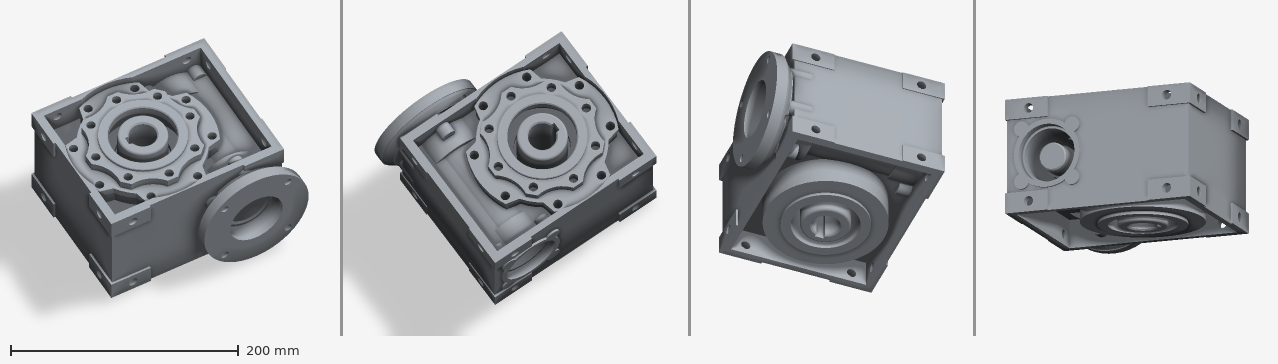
import cadquery as cq
import math


CENTRE_DISTANCE = 63.0

HALF_WIDTH = 72.0
BACK_Y = 102.0
HALF_HEIGHT = 51.5
SIDE_RELIEF = 2.0
BACK_RELIEF = 1.0
WALL = 8.0
FLOOR_Z = 25.9
PAD_LENGTH = 39.8
PAD_HEIGHT = 18.4
PAD_HOLE_RADIUS = 4.3
PAD_HOLE_INSET = 22.0
PAD_HOLE_Z = 42.2

TUNNEL_RADIUS = 24.0
SEAL_BORE_RADIUS = 26.2
SEAL_BORE_DEPTH = 8.2
TUBE_RADIUS = 28.5
END_TUBE_RADIUS = 30.4
END_TUBE_X = -39.0
INPUT_TUBE_RADIUS = 34.0
INPUT_TUBE_X = 41.8
INPUT_FACE_X = 74.0
END_RING_RADIUS = 31.0
END_BOSS_RADIUS = 7.0
END_BOSS_OFFSET = 23.8
END_BOSS_X = -52.0
INPUT_BOSS_RADIUS = 7.0
INPUT_BOSS_CIRCLE = 37.5
INPUT_BOSS_COUNT = 6
INPUT_BOSS_X = 53.2

CHAMBER_RADIUS = 53.2
BOSS_RADIUS = 55.5
BOSS_LOBE_RADIUS = 66.4
CHAMBER_BOTTOM_Z = -16.9
SEAT_Z = 38.5
FLANGE_TOP_Z = 45.0
STAR_TOP_Z = 53.0
RING_TOP_Z = 55.7
RING_RADIUS = 40.0
RING_EDGE = 0.5
COVER_BOTTOM_Z = 23.8
COVER_RADIUS = 67.9
RECESS_RADIUS = 68.8
LOBE_ANGLE = 63.7
VALLEY_RADIUS = 58.3
VALLEY_HALF_ANGLE = 10.5
STAR_TIP_DISTANCE = 54.5
STAR_TIP_HALF_WIDTH = 5.2
STAR_VALLEY_RADIUS = 48.0
BEARING_RADIUS = 36.8
BEARING_TOP_Z = 47.5
BEARING_FLOOR_Z = 29.5
OPENING_RADIUS = 30.8
OPENING_CHAMFER = 1.0
SHOULDER_RADIUS = 25.1
OUTER_HOLE_CIRCLE = 61.3
OUTER_HOLE_DEPTH = 23.5
INNER_HOLE_CIRCLE = 47.5
INNER_HOLE_DEPTH = 11.2
COVER_HOLE_RADIUS = 4.1
COVER_HOLE_COUNT = 8
DRILL_POINT_ANGLE = 118.0
BOTTOM_HUB_Z = -54.4

SHAFT_RADIUS = 22.5
SHAFT_LENGTH = 112.0
SHAFT_HALF_LENGTH = SHAFT_LENGTH / 2
SHAFT_ROUNDING = 2.2
SHAFT_BORE_RADIUS = 12.5
SHAFT_BORE_CHAMFER = 1.3
KEYWAY_WIDTH = 8.0
KEYWAY_DEPTH = 15.8
WHEEL_RADIUS = 52.5
WHEEL_HALF_WIDTH = 11.5
WHEEL_CHAMFER_WIDTH = 2.0
WHEEL_CHAMFER_DEPTH = 3.0

WORM_START_X = -58.3
WORM_RADIUS = 14.8
WORM_CLEARANCE = 0.4
JOURNAL_RADIUS = 12.8
JOURNAL_END_X = -37.5
JOURNAL_CHAMFER = 1.3
WORM_CONE_X = 35.6
WORM_CONE_LENGTH = 5.0
WORM_HEAD_RADIUS = 20.2

MOTOR_FACE_X = 92.0
MOTOR_RADIUS = 52.5
MOTOR_RIM_X = 81.8
MOTOR_CONE_START_X = 74.8
MOTOR_CONE_END_X = 79.7
MOTOR_CONE_END_RADIUS = 50.0
MOTOR_CONE_START_RADIUS = 44.6
MOTOR_SHOULDER_RADIUS = 51.5
MOTOR_BORE_RADIUS = 26.2
MOTOR_HOLE_CIRCLE = 45.0
MOTOR_HOLE_RADIUS = 3.5
MOTOR_HOLE_COUNT = 4


def polar(radius, angle):
    """Point at a radius and an angle in degrees."""
    return (radius * math.cos(math.radians(angle)), radius * math.sin(math.radians(angle)))


def disc(radius, bottom, top):
    """Cylinder on the output axis."""
    return cq.Workplane("XY").workplane(offset=bottom).circle(radius).extrude(top - bottom)


def rod(radius, start, end, dy=0.0, dz=0.0):
    """Cylinder along X, placed relative to the worm axis."""
    plane = cq.Workplane("YZ").workplane(offset=start).center(CENTRE_DISTANCE + dy, dz)
    return plane.circle(radius).extrude(end - start)


def block(x0, x1, y0, y1, z0, z1):
    """Box between two opposite corners."""
    return cq.Workplane("XY").box(x1 - x0, y1 - y0, z1 - z0, centered=False).translate((x0, y0, z0))


def drill(circle, angle, top, depth):
    """Drilled hole with a conical bottom, opening upward."""
    tip = COVER_HOLE_RADIUS / math.tan(math.radians(DRILL_POINT_ANGLE / 2))
    profile = [
        (0, top),
        (COVER_HOLE_RADIUS, top),
        (COVER_HOLE_RADIUS, top - depth),
        (0, top - depth - tip),
    ]
    hole = cq.Workplane("XZ").polyline(profile).close().revolve(360, (0, 0, 0), (0, 1, 0))
    x, y = polar(circle, angle)
    return hole.translate((x, y, 0))


def cut_cover_holes(body, circle, first_angle, top, depth):
    """Ring of equally spaced drilled holes."""
    for i in range(COVER_HOLE_COUNT):
        body = body.cut(drill(circle, first_angle + i * 360 / COVER_HOLE_COUNT, top, depth))
    return body


def lobed_plate(lobe_radius, valley_radius, bottom, top):
    """Round plate with four lobes on the X and Y axes, joined by arcs of a smaller radius."""
    lobe_half_angle = 90 - LOBE_ANGLE
    start = polar(lobe_radius, -lobe_half_angle)
    outline = cq.Workplane("XY").workplane(offset=bottom).moveTo(*start)
    for lobe in range(0, 360, 90):
        valley = lobe + 45
        outline = (
            outline.threePointArc(polar(lobe_radius, lobe), polar(lobe_radius, lobe + lobe_half_angle))
            .lineTo(*polar(valley_radius, valley - VALLEY_HALF_ANGLE))
            .threePointArc(
                polar(valley_radius, valley), polar(valley_radius, valley + VALLEY_HALF_ANGLE)
            )
            .lineTo(*polar(lobe_radius, lobe + LOBE_ANGLE))
        )
    return outline.close().extrude(top - bottom)


def star_plate(bottom, top):
    """Plate with eight blunt tips joined by concave arcs."""
    tip_radius = math.hypot(STAR_TIP_DISTANCE, STAR_TIP_HALF_WIDTH)
    tip_angle = math.degrees(math.atan2(STAR_TIP_HALF_WIDTH, STAR_TIP_DISTANCE))
    pitch = 360 / COVER_HOLE_COUNT
    outline = cq.Workplane("XY").workplane(offset=bottom).moveTo(*polar(tip_radius, -tip_angle))
    for i in range(COVER_HOLE_COUNT):
        tip = i * pitch
        outline = outline.lineTo(*polar(tip_radius, tip + tip_angle)).threePointArc(
            polar(STAR_VALLEY_RADIUS, tip + pitch / 2), polar(tip_radius, tip + pitch - tip_angle)
        )
    return outline.close().extrude(top - bottom)


def housing_block():
    """Block with eight raised corner pads."""
    side = HALF_WIDTH - SIDE_RELIEF
    body = block(-side, side, -side, BACK_Y - BACK_RELIEF, -HALF_HEIGHT, HALF_HEIGHT)
    for x in (-HALF_WIDTH, HALF_WIDTH - PAD_LENGTH):
        for y in (-HALF_WIDTH, BACK_Y - PAD_LENGTH):
            for z in (-HALF_HEIGHT, HALF_HEIGHT - PAD_HEIGHT):
                body = body.union(block(x, x + PAD_LENGTH, y, y + PAD_LENGTH, z, z + PAD_HEIGHT))
    return body


def cut_pockets(body):
    """Open pockets above and below the middle of the housing."""
    inner = HALF_WIDTH - WALL
    for z0, z1 in ((FLOOR_Z, HALF_HEIGHT), (-HALF_HEIGHT, -FLOOR_Z)):
        body = body.cut(block(-inner, inner, -inner, BACK_Y - WALL, z0, z1))
    return body


def cut_pad_holes(body):
    """Holes through the pads and the pocket walls; none lie behind the motor flange."""
    near = PAD_HOLE_INSET - HALF_WIDTH
    far_x = HALF_WIDTH - PAD_HOLE_INSET
    far_y = BACK_Y - PAD_HOLE_INSET
    holes = [
        (near, -HALF_WIDTH, (0, 1, 0)),
        (far_x, -HALF_WIDTH, (0, 1, 0)),
        (near, BACK_Y, (0, -1, 0)),
        (far_x, BACK_Y, (0, -1, 0)),
        (-HALF_WIDTH, near, (1, 0, 0)),
        (-HALF_WIDTH, far_y, (1, 0, 0)),
        (HALF_WIDTH, near, (-1, 0, 0)),
    ]
    for z in (-PAD_HOLE_Z, PAD_HOLE_Z):
        for x, y, inward in holes:
            hole = cq.Solid.makeCylinder(PAD_HOLE_RADIUS, WALL, cq.Vector(x, y, z), cq.Vector(*inward))
            body = body.cut(cq.Workplane(hole))
    return body


def worm_tube():
    """Tube around the worm, with its end rings and screw bosses."""
    inner = HALF_WIDTH - WALL
    body = rod(TUBE_RADIUS, -inner, inner)
    body = body.union(rod(END_TUBE_RADIUS, -inner, END_TUBE_X))
    body = body.union(rod(END_RING_RADIUS, -HALF_WIDTH, -inner))
    body = body.union(rod(INPUT_TUBE_RADIUS, INPUT_TUBE_X, INPUT_FACE_X))
    for dy in (-END_BOSS_OFFSET, END_BOSS_OFFSET):
        for dz in (-END_BOSS_OFFSET, END_BOSS_OFFSET):
            body = body.union(rod(END_BOSS_RADIUS, -HALF_WIDTH, END_BOSS_X, dy, dz))
    for i in range(INPUT_BOSS_COUNT):
        dy, dz = polar(INPUT_BOSS_CIRCLE, 90 + i * 360 / INPUT_BOSS_COUNT)
        body = body.union(rod(INPUT_BOSS_RADIUS, INPUT_BOSS_X, INPUT_FACE_X, dy, dz))
    return body


def make_housing():
    body = cut_pad_holes(cut_pockets(housing_block()))
    body = body.union(worm_tube())

    body = body.union(lobed_plate(BOSS_LOBE_RADIUS, BOSS_RADIUS, FLOOR_Z, SEAT_Z))
    body = body.cut(disc(RECESS_RADIUS, SEAT_Z, HALF_HEIGHT))
    body = body.union(disc(BOSS_RADIUS, -HALF_HEIGHT, -FLOOR_Z))
    body = body.union(disc(RING_RADIUS, BOTTOM_HUB_Z, -HALF_HEIGHT))

    body = body.cut(disc(CHAMBER_RADIUS, CHAMBER_BOTTOM_Z, SEAT_Z))
    body = body.cut(disc(OPENING_RADIUS, BOTTOM_HUB_Z, CHAMBER_BOTTOM_Z))
    body = body.cut(rod(TUNNEL_RADIUS, -HALF_WIDTH, INPUT_FACE_X))
    body = body.cut(rod(SEAL_BORE_RADIUS, -HALF_WIDTH, SEAL_BORE_DEPTH - HALF_WIDTH))
    half_pitch = 180 / COVER_HOLE_COUNT
    return cut_cover_holes(body, OUTER_HOLE_CIRCLE, half_pitch, FLANGE_TOP_Z, OUTER_HOLE_DEPTH)


def make_cover():
    body = lobed_plate(COVER_RADIUS, VALLEY_RADIUS, SEAT_Z, FLANGE_TOP_Z)
    body = body.union(star_plate(FLANGE_TOP_Z, STAR_TOP_Z))
    ring = disc(RING_RADIUS, STAR_TOP_Z, RING_TOP_Z).faces(">Z").edges().chamfer(RING_EDGE)
    body = body.union(ring).union(disc(CHAMBER_RADIUS, COVER_BOTTOM_Z, SEAT_Z))

    body = body.cut(disc(SHOULDER_RADIUS, COVER_BOTTOM_Z, RING_TOP_Z))
    body = body.cut(disc(BEARING_RADIUS, BEARING_FLOOR_Z, BEARING_TOP_Z))
    body = body.cut(disc(OPENING_RADIUS, BEARING_TOP_Z, RING_TOP_Z))
    rim = cq.selectors.RadiusNthSelector(0)
    body = body.faces(">Z").edges(rim).chamfer(OPENING_CHAMFER)

    half_pitch = 180 / COVER_HOLE_COUNT
    body = cut_cover_holes(body, OUTER_HOLE_CIRCLE, half_pitch, FLANGE_TOP_Z, OUTER_HOLE_DEPTH)
    return cut_cover_holes(body, INNER_HOLE_CIRCLE, 0, STAR_TOP_Z, INNER_HOLE_DEPTH)


def make_output_shaft():
    body = disc(SHAFT_RADIUS, -SHAFT_HALF_LENGTH, SHAFT_HALF_LENGTH)
    body = body.faces("<Z or >Z").edges().fillet(SHAFT_ROUNDING)
    bore = disc(SHAFT_BORE_RADIUS, -SHAFT_HALF_LENGTH, SHAFT_HALF_LENGTH)
    body = body.cut(bore)
    rim = cq.selectors.RadiusNthSelector(0)
    body = body.faces("<Z or >Z").edges(rim).chamfer(SHAFT_BORE_CHAMFER)
    half_key = KEYWAY_WIDTH / 2
    keyway = block(-half_key, half_key, -KEYWAY_DEPTH, 0, -SHAFT_HALF_LENGTH, SHAFT_HALF_LENGTH)
    return body.cut(keyway)


def make_worm_wheel():
    """Chamfered ring on the output shaft."""
    rim_z = WHEEL_HALF_WIDTH - WHEEL_CHAMFER_WIDTH
    side_radius = WHEEL_RADIUS - WHEEL_CHAMFER_DEPTH
    profile = [
        (SHAFT_RADIUS, -WHEEL_HALF_WIDTH),
        (side_radius, -WHEEL_HALF_WIDTH),
        (WHEEL_RADIUS, -rim_z),
        (WHEEL_RADIUS, rim_z),
        (side_radius, WHEEL_HALF_WIDTH),
        (SHAFT_RADIUS, WHEEL_HALF_WIDTH),
    ]
    return cq.Workplane("XZ").polyline(profile).close().revolve(360, (0, 0, 0), (0, 1, 0))


def revolve_about_worm_axis(outline):
    """Solid of revolution from an outline of (x, radius) points."""
    return outline.close().revolve(360, (0, 0, 0), (1, 0, 0)).translate((0, CENTRE_DISTANCE, 0))


def make_worm():
    """Worm with a waist that follows the rim of the wheel."""
    waist_arc_radius = WHEEL_RADIUS + WORM_CLEARANCE
    waist_half_length = math.sqrt(waist_arc_radius**2 - (CENTRE_DISTANCE - WORM_RADIUS) ** 2)
    outline = (
        cq.Workplane("XY")
        .moveTo(WORM_START_X, 0)
        .lineTo(WORM_START_X, JOURNAL_RADIUS - JOURNAL_CHAMFER)
        .lineTo(WORM_START_X + JOURNAL_CHAMFER, JOURNAL_RADIUS)
        .lineTo(JOURNAL_END_X, JOURNAL_RADIUS)
        .lineTo(JOURNAL_END_X, WORM_RADIUS)
        .lineTo(-waist_half_length, WORM_RADIUS)
        .threePointArc((0, CENTRE_DISTANCE - waist_arc_radius), (waist_half_length, WORM_RADIUS))
        .lineTo(WORM_CONE_X, WORM_RADIUS)
        .lineTo(WORM_CONE_X + WORM_CONE_LENGTH, WORM_HEAD_RADIUS)
        .lineTo(INPUT_FACE_X, WORM_HEAD_RADIUS)
        .lineTo(INPUT_FACE_X, 0)
    )
    return revolve_about_worm_axis(outline)


def make_motor_flange():
    profile = [
        (INPUT_FACE_X, MOTOR_BORE_RADIUS),
        (INPUT_FACE_X, MOTOR_CONE_START_RADIUS),
        (MOTOR_CONE_START_X, MOTOR_CONE_START_RADIUS),
        (MOTOR_CONE_END_X, MOTOR_CONE_END_RADIUS),
        (MOTOR_RIM_X, MOTOR_SHOULDER_RADIUS),
        (MOTOR_RIM_X, MOTOR_RADIUS),
        (MOTOR_FACE_X, MOTOR_RADIUS),
        (MOTOR_FACE_X, MOTOR_BORE_RADIUS),
    ]
    body = revolve_about_worm_axis(cq.Workplane("XY").polyline(profile))
    for i in range(MOTOR_HOLE_COUNT):
        dy, dz = polar(MOTOR_HOLE_CIRCLE, 45 + i * 360 / MOTOR_HOLE_COUNT)
        body = body.cut(rod(MOTOR_HOLE_RADIUS, INPUT_FACE_X, MOTOR_FACE_X, dy, dz))
    return body


housing = make_housing()
cover = make_cover()
output_shaft = make_output_shaft()
worm_wheel = make_worm_wheel()
worm = make_worm()
motor_flange = make_motor_flange()

result = cq.Compound.makeCompound(
    [
        housing.val(),
        cover.val(),
        output_shaft.val(),
        worm_wheel.val(),
        worm.val(),
        motor_flange.val(),
    ]
)